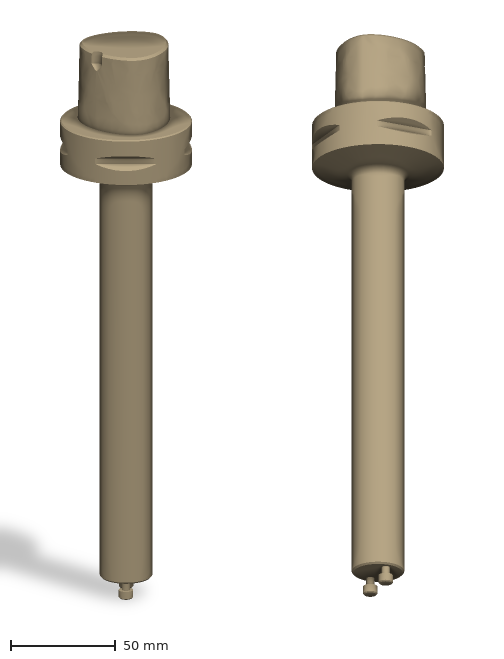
import cadquery as cq
import math

TOTAL_HEIGHT = 276.0
SHANK_HEIGHT = 38.0
FLANGE_HEIGHT = 22.4
CONE_HEIGHT = 4.5
BAR_BOTTOM = 8.3
FLANGE_TOP = TOTAL_HEIGHT - SHANK_HEIGHT
FLANGE_BOTTOM = FLANGE_TOP - FLANGE_HEIGHT
CONE_BOTTOM = FLANGE_BOTTOM - CONE_HEIGHT

FLANGE_RADIUS = 63.0 / 2
BAR_RADIUS = 25.0 / 2
NECK_FILLET = 3.3
FLANGE_CHAMFER = 0.5
BAR_CHAMFER = 0.8

SHANK_BASE_RADIUS = 22.0
LOBE_HEIGHT = 1.5
SHANK_TAPER = 1 / 40
SHANK_CHAMFER = 1.0

NOTCH_RADIUS = 3.5
NOTCH_AXIS_Y = -20.7
NOTCH_DEPTH = 6.0

GROOVE_COUNT = 4
GROOVE_FLOOR = 28.0
GROOVE_MID_Z = FLANGE_TOP - 11.5
GROOVE_FLOOR_WIDTH = 2.8
GROOVE_MOUTH_WIDTH = 7.5

SCREW_OFFSET = 5.8
SCREW_HEAD_RADIUS = 7.0 / 2
SCREW_HEAD_HEIGHT = 4.1
SCREW_HEAD_CHAMFER = 0.5
SCREW_STEM_RADIUS = 4.0 / 2


def lobed_section(mean_radius, z):
    """Constant-width three-lobed outline with one lobe towards +Y."""
    def point(t):
        angle = 2 * math.pi * t
        across = (
            mean_radius * math.sin(angle)
            - 2 * LOBE_HEIGHT * math.sin(2 * angle)
            - LOBE_HEIGHT * math.sin(4 * angle)
        )
        along = (
            mean_radius * math.cos(angle)
            + 2 * LOBE_HEIGHT * math.cos(2 * angle)
            - LOBE_HEIGHT * math.cos(4 * angle)
        )
        return cq.Vector(across, along, z)

    points = 48
    spline = cq.Edge.makeSpline([point(i / points) for i in range(points)], periodic=True)
    return cq.Wire.assembleEdges([spline])


def make_shank():
    """Tapered polygon shank with a chamfered top and a drilled notch."""
    chamfer_z = TOTAL_HEIGHT - SHANK_CHAMFER
    shoulder_radius = SHANK_BASE_RADIUS - (SHANK_HEIGHT - SHANK_CHAMFER) * SHANK_TAPER
    base = lobed_section(SHANK_BASE_RADIUS, FLANGE_TOP)
    shoulder = lobed_section(shoulder_radius, chamfer_z)
    top = lobed_section(shoulder_radius - SHANK_CHAMFER, TOTAL_HEIGHT)
    body = cq.Solid.makeLoft([base, shoulder], True)
    cap = cq.Solid.makeLoft([shoulder, top], True)

    rim_z = TOTAL_HEIGHT - NOTCH_DEPTH
    drill = (
        cq.Workplane("XZ")
        .moveTo(0, rim_z - NOTCH_RADIUS)
        .lineTo(NOTCH_RADIUS, rim_z)
        .lineTo(NOTCH_RADIUS, TOTAL_HEIGHT)
        .lineTo(0, TOTAL_HEIGHT)
        .close()
        .revolve(360, (0, 0, 0), (0, 1, 0))
        .translate((0, NOTCH_AXIS_Y, 0))
    )
    return cq.Workplane(body).union(cq.Workplane(cap)).cut(drill)


def make_flange_and_bar():
    """Flange, cone and bar turned as one profile, with a filleted neck."""
    slope = math.atan2(CONE_HEIGHT, FLANGE_RADIUS - BAR_RADIUS)
    tangent = NECK_FILLET * math.tan((math.pi / 2 - slope) / 2)
    fillet_centre = (BAR_RADIUS + NECK_FILLET, CONE_BOTTOM - tangent)
    mid_angle = (math.pi + math.pi / 2 + slope) / 2
    arc_start = (
        BAR_RADIUS + tangent * math.cos(slope),
        CONE_BOTTOM + tangent * math.sin(slope),
    )
    arc_middle = (
        fillet_centre[0] + NECK_FILLET * math.cos(mid_angle),
        fillet_centre[1] + NECK_FILLET * math.sin(mid_angle),
    )
    return (
        cq.Workplane("XZ")
        .moveTo(0, FLANGE_TOP)
        .lineTo(FLANGE_RADIUS - FLANGE_CHAMFER, FLANGE_TOP)
        .lineTo(FLANGE_RADIUS, FLANGE_TOP - FLANGE_CHAMFER)
        .lineTo(FLANGE_RADIUS, FLANGE_BOTTOM)
        .lineTo(*arc_start)
        .threePointArc(arc_middle, (BAR_RADIUS, CONE_BOTTOM - tangent))
        .lineTo(BAR_RADIUS, BAR_BOTTOM + BAR_CHAMFER)
        .lineTo(BAR_RADIUS - BAR_CHAMFER, BAR_BOTTOM)
        .lineTo(0, BAR_BOTTOM)
        .close()
        .revolve(360, (0, 0, 0), (0, 1, 0))
    )


def make_groove(angle):
    """Straight trapezoidal groove cutter, tangent to the flange."""
    half_floor = GROOVE_FLOOR_WIDTH / 2
    half_mouth = GROOVE_MOUTH_WIDTH / 2
    return (
        cq.Workplane("XZ")
        .moveTo(GROOVE_FLOOR, GROOVE_MID_Z - half_floor)
        .lineTo(FLANGE_RADIUS, GROOVE_MID_Z - half_mouth)
        .lineTo(FLANGE_RADIUS, GROOVE_MID_Z + half_mouth)
        .lineTo(GROOVE_FLOOR, GROOVE_MID_Z + half_floor)
        .close()
        .extrude(FLANGE_RADIUS, both=True)
        .rotate((0, 0, 0), (0, 0, 1), angle)
    )


def make_screw(x, y):
    """Cylindrical screw head with its stem reaching the bar."""
    head = (
        cq.Workplane("XY")
        .circle(SCREW_HEAD_RADIUS)
        .extrude(SCREW_HEAD_HEIGHT)
        .faces("<Z")
        .chamfer(SCREW_HEAD_CHAMFER)
    )
    stem = cq.Workplane("XY").circle(SCREW_STEM_RADIUS).extrude(BAR_BOTTOM)
    return head.union(stem).translate((x, y, 0))


result = make_flange_and_bar().union(make_shank())
for index in range(GROOVE_COUNT):
    result = result.cut(make_groove((index + 0.5) * 360 / GROOVE_COUNT))
for side in (-1, 1):
    result = result.union(make_screw(side * SCREW_OFFSET, -side * SCREW_OFFSET))